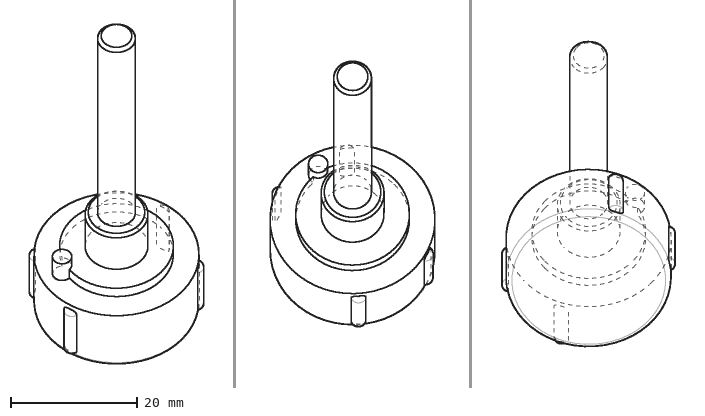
import cadquery as cq

total_height = 64.0

housing_diameter = 26.2
housing_height = 12.0
housing_bottom_fillet = 0.9

flange_diameter = 18.05
flange_thickness = 2.0
collar_diameter = 10.0
collar_height = 8.0
collar_chamfer = 0.5
shaft_diameter = 6.0
shaft_chamfer = 0.6

pin_diameter = 3.1
pin_height = 4.0
pin_offset = 9.55

rib_diameter = 2.5
rib_x = 6.45
rib_y = 10.9
rib_bottom = 1.0
rib_top = 11.1
rib_end_fillet = 0.7

flange_top = housing_height + flange_thickness
collar_top = flange_top + collar_height


def cylinder(diameter, bottom, top, x=0, y=0):
    """Vertical cylinder between two heights."""
    return cq.Workplane("XY", origin=(x, y, bottom)).circle(diameter / 2).extrude(top - bottom)


def make_rib(x, y):
    """Vertical round rib with both ends rounded."""
    return cylinder(rib_diameter, rib_bottom, rib_top, x, y).edges().fillet(rib_end_fillet)


housing = cylinder(housing_diameter, 0, housing_height).faces("<Z").edges().fillet(housing_bottom_fillet)
flange = cylinder(flange_diameter, housing_height, flange_top)
collar = cylinder(collar_diameter, flange_top, collar_top).faces(">Z").edges().chamfer(collar_chamfer)
shaft = cylinder(shaft_diameter, collar_top, total_height).faces(">Z").edges().chamfer(shaft_chamfer)
pin = cylinder(pin_diameter, housing_height, housing_height + pin_height, y=-pin_offset)

result = housing.union(flange).union(collar).union(shaft).union(pin)
for x_side in (-1, 1):
    for y_side in (-1, 1):
        result = result.union(make_rib(x_side * rib_x, y_side * rib_y))